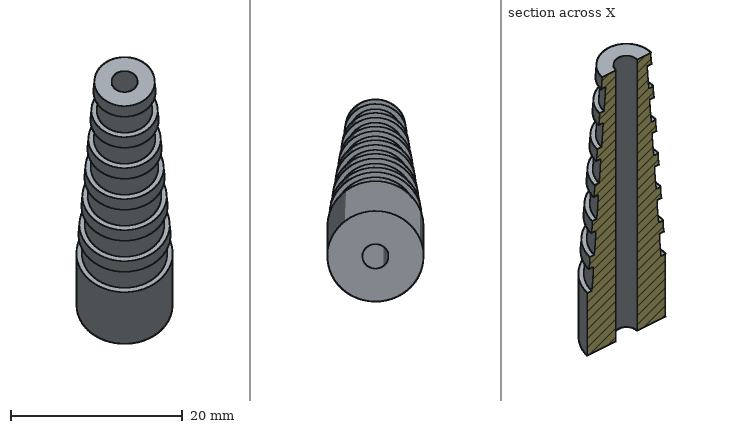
import cadquery as cq

total_height = 44.5
base_height = 10.32
base_radius = 5.6
tip_radius = 3.5
bore_radius = 1.5

ring_count = 6
ring_height = 1.95
groove_depth = 0.62

taper_height = total_height - base_height
pitch = taper_height / ring_count
groove_height = pitch - ring_height


def taper_radius(z):
    """Radius of the ring envelope, narrowing evenly from the base to the tip."""
    return base_radius + (tip_radius - base_radius) * (z - base_height) / taper_height


def stepped_body():
    """Cylindrical base topped by alternating tapered grooves and rings."""
    outline = [(0, 0), (base_radius, 0), (base_radius, base_height)]
    for index in range(ring_count):
        groove_bottom = base_height + index * pitch
        ring_bottom = groove_bottom + groove_height
        ring_top = ring_bottom + ring_height
        outline += [
            (taper_radius(groove_bottom) - groove_depth, groove_bottom),
            (taper_radius(ring_bottom) - groove_depth, ring_bottom),
            (taper_radius(ring_bottom), ring_bottom),
            (taper_radius(ring_top), ring_top),
        ]
    outline.append((0, total_height))
    return cq.Workplane("XZ").polyline(outline).close().revolve(360, (0, 0), (0, 1))


def bore():
    """Straight hole along the whole axis."""
    return cq.Workplane("XY").circle(bore_radius).extrude(total_height)


result = stepped_body().cut(bore())